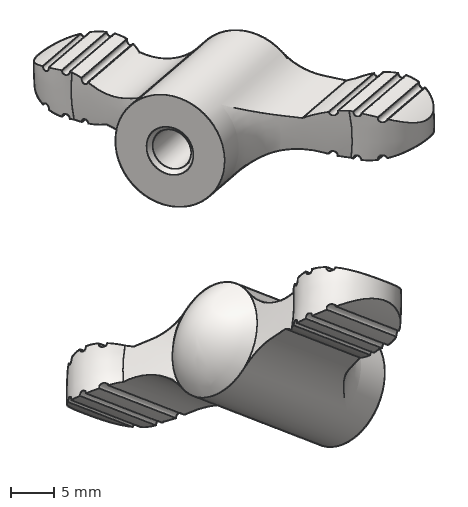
import cadquery as cq
import math


hub_radius = 7.0
overall_length = 24.0
dome_height = 3.1
hub_length = overall_length - dome_height
bore_diameter = 4.92
bore_depth = 12.0
bore_mouth_diameter = 6.0

tip_radius = 25.0
head_radius = 6.25
head_center_r = tip_radius - head_radius
head_center_y = overall_length - head_radius
rear_corner_angle = 138.0
front_corner_angle = 263.0
front_slope_angle = 21.0
front_fillet_radius = 5.0

flank_radius = 9.0
upper_flank_center_x = 10.7
lower_flank_center_x = 12.3
upper_neck_start_x = 9.83
upper_neck_end_x = 12.54
lower_neck_end_x = 14.95
upper_crest = (17.75, 3.75)
upper_tip_z = 1.6
lower_crest = (18.5, -2.22)
lower_tip_z = -0.72
tip_overshoot = 0.05

groove_positions = (15.88, 18.65, 21.55)
groove_radius = 0.5


def polar(center, radius, degrees):
    """Point on a circle at an angle from its first axis."""
    angle = math.radians(degrees)
    return (center[0] + radius * math.cos(angle), center[1] + radius * math.sin(angle))


def circle_through(first, second, third):
    """Center and radius of the circle through three points."""
    (ax, ay), (bx, by), (cx, cy) = first, second, third
    d = 2 * (ax * (by - cy) + bx * (cy - ay) + cx * (ay - by))
    a2, b2, c2 = ax**2 + ay**2, bx**2 + by**2, cx**2 + cy**2
    x = (a2 * (by - cy) + b2 * (cy - ay) + c2 * (ay - by)) / d
    y = (a2 * (cx - bx) + b2 * (ax - cx) + c2 * (bx - ax)) / d
    return (x, y), math.hypot(ax - x, ay - y)


def turn_about_y(outline):
    """Full turn about Y, with the seam on the -Z side, clear of the wings."""
    return outline.revolve(360, (0, 0, 0), (0, 1, 0)).rotate((0, 0, 0), (0, 1, 0), 90)


def make_hub():
    """Cylindrical hub with a spherical dome closing its rear end."""
    dome_radius = (hub_radius**2 + dome_height**2) / (2 * dome_height)
    dome_center = (0, overall_length - dome_radius)
    rim_angle = math.degrees(math.acos(hub_radius / dome_radius))
    dome_mid = polar(dome_center, dome_radius, (rim_angle + 90) / 2)

    outline = (
        cq.Workplane("XY")
        .lineTo(hub_radius, 0)
        .lineTo(hub_radius, hub_length)
        .threePointArc(dome_mid, (0, overall_length))
        .close()
    )
    return turn_about_y(outline)


def make_bell():
    """Wing outline turned about the Y axis, solid out from the axis."""
    head_center = (head_center_r, head_center_y)
    front_corner = polar(head_center, head_radius, front_corner_angle)
    rear_corner = polar(head_center, head_radius, rear_corner_angle)
    head_tip = (tip_radius, head_center_y)

    slope = math.radians(front_slope_angle)
    sharp_y = front_corner[1] - (front_corner[0] - hub_radius) * math.tan(slope)
    tangent_length = front_fillet_radius * math.tan((math.pi / 2 - slope) / 2)
    fillet_start = (hub_radius, sharp_y - tangent_length)
    fillet_end = (
        hub_radius + tangent_length * math.cos(slope),
        sharp_y + tangent_length * math.sin(slope),
    )
    fillet_center = (hub_radius + front_fillet_radius, fillet_start[1])
    fillet_start_angle = 180
    fillet_end_angle = 90 + front_slope_angle
    fillet_mid_angle = (fillet_start_angle + fillet_end_angle) / 2
    fillet_mid = polar(fillet_center, front_fillet_radius, fillet_mid_angle)

    outline = (
        cq.Workplane("XY")
        .moveTo(0, fillet_start[1])
        .lineTo(*fillet_start)
        .threePointArc(fillet_mid, fillet_end)
        .lineTo(*front_corner)
        .threePointArc(head_tip, rear_corner)
        .lineTo(hub_radius, hub_length)
        .lineTo(0, hub_length)
        .close()
    )
    return turn_about_y(outline)


def flank_center(center_x, side):
    """Center of the flank arc that touches the hub circle from outside."""
    reach = hub_radius + flank_radius
    return (center_x, side * math.sqrt(reach**2 - center_x**2))


def flank_point(center, x, side):
    """Point at x on the half of a flank circle that faces the middle of the wing."""
    return (x, center[1] - side * math.sqrt(flank_radius**2 - (x - center[0]) ** 2))


def hub_tangent(center):
    """Point where a flank arc touches the hub circle."""
    ratio = hub_radius / (hub_radius + flank_radius)
    return (center[0] * ratio, center[1] * ratio)


upper_center = flank_center(upper_flank_center_x, 1)
lower_center = flank_center(lower_flank_center_x, -1)
upper_neck_start = flank_point(upper_center, upper_neck_start_x, 1)
neck_slope = (upper_neck_start_x - upper_center[0]) / (upper_center[1] - upper_neck_start[1])
upper_neck_end = (
    upper_neck_end_x,
    upper_neck_start[1] + neck_slope * (upper_neck_end_x - upper_neck_start_x),
)
lower_neck_end = flank_point(lower_center, lower_neck_end_x, -1)
section_end_x = tip_radius + tip_overshoot
upper_tip = (section_end_x, upper_tip_z)
lower_tip = (section_end_x, lower_tip_z)


def turned(point, turn):
    """The point itself for turn 1, or carried half a turn about the hub axis for turn -1."""
    return (turn * point[0], turn * point[1])


def make_section():
    """Outline of both wings and the hub in XZ, extruded over the full length."""
    upper_tangent = hub_tangent(upper_center)
    lower_tangent = hub_tangent(lower_center)
    upper_flank_mid = flank_point(upper_center, (upper_tangent[0] + upper_neck_start_x) / 2, 1)
    lower_flank_mid = flank_point(lower_center, (lower_tangent[0] + lower_neck_end_x) / 2, -1)
    hub_bottom = (0, -hub_radius)

    outline = cq.Workplane("XZ").moveTo(*upper_tangent)
    for turn in (1, -1):
        outline = (
            outline.threePointArc(turned(upper_flank_mid, turn), turned(upper_neck_start, turn))
            .lineTo(*turned(upper_neck_end, turn))
            .threePointArc(turned(upper_crest, turn), turned(upper_tip, turn))
            .lineTo(*turned(lower_tip, turn))
            .threePointArc(turned(lower_crest, turn), turned(lower_neck_end, turn))
            .threePointArc(turned(lower_flank_mid, turn), turned(lower_tangent, turn))
            .threePointArc(turned(hub_bottom, turn), turned(upper_tangent, -turn))
        )
    return outline.close().extrude(-overall_length)


def make_grooves():
    """Round grooves centered on the crest surfaces, running along Y."""
    upper_arc = circle_through(upper_neck_end, upper_crest, upper_tip)
    lower_arc = circle_through(lower_neck_end, lower_crest, lower_tip)
    centers = []
    for x in groove_positions:
        for side, (center, radius) in ((1, upper_arc), (-1, lower_arc)):
            z = center[1] + side * math.sqrt(radius**2 - (x - center[0]) ** 2)
            centers.extend([turned((x, z), 1), turned((x, z), -1)])
    return cq.Workplane("XZ").pushPoints(centers).circle(groove_radius).extrude(-overall_length)


def make_bore():
    """Blind bore from the front face with a 45 degree lead-in."""
    bore_radius = bore_diameter / 2
    mouth_radius = bore_mouth_diameter / 2
    outline = cq.Workplane("XY").polyline([
        (0, 0),
        (mouth_radius, 0),
        (bore_radius, mouth_radius - bore_radius),
        (bore_radius, bore_depth),
        (0, bore_depth),
    ])
    return turn_about_y(outline.close())


wings = make_bell().intersect(make_section().cut(make_grooves()))
result = make_hub().union(wings).clean().cut(make_bore())